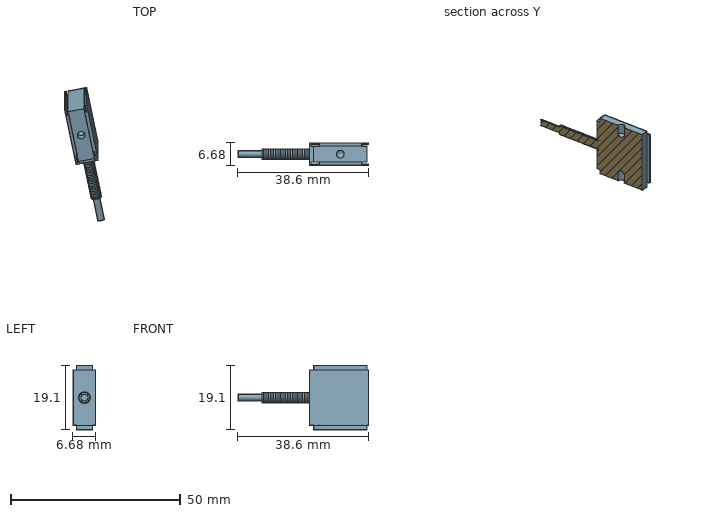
import cadquery as cq
import math

total_length = 38.6
body_width = 6.68
total_height = 19.05

body_length = 17.53
body_height = 16.4
core_width = 4.8
core_front_inset = 1.2
core_rear_inset = 0.45
body_start = total_length - body_length
core_start = body_start + core_front_inset
core_end = total_length - core_rear_inset
core_middle = (core_start + core_end) / 2

slot_width = 0.45
front_wall = 0.5
front_slot_end = body_start + 2.85
rear_slot_start = body_start + 15.5

hole_diameter = 2.28
hole_depth = 3.1
hole_tip_angle = 118.0

cable_diameter = 2.05
coil_diameter = 3.15
coil_start = 7.0
visible_coils = 28
coil_pitch = (body_start - coil_start) / visible_coils
entry_diameter = 3.45
entry_depth = coil_pitch


def box_between(x_start, x_end, width, height, y_center=0):
    """Box from x_start to x_end, centred on Z = 0."""
    length = x_end - x_start
    return cq.Workplane("XY").box(length, width, height).translate((x_start + length / 2, y_center, 0))


def make_housing():
    """Block with a flush front web, slots along the core and an open rear end."""
    housing = box_between(body_start, total_length, body_width, body_height)
    slot_center = core_width / 2 + slot_width / 2
    for side in (-1, 1):
        y = side * slot_center
        front_slot = box_between(body_start + front_wall, front_slot_end, slot_width, body_height, y)
        rear_slot = box_between(rear_slot_start, total_length, slot_width, body_height, y)
        housing = housing.cut(front_slot).cut(rear_slot)
    rear_gap = box_between(core_end, total_length, core_width, body_height)
    return housing.cut(rear_gap)


def mounting_hole():
    """Blind hole with a conical tip, drilled down from the top of the core."""
    radius = hole_diameter / 2
    tip_length = radius / math.tan(math.radians(hole_tip_angle / 2))
    floor = total_height / 2 - hole_depth
    return (
        cq.Workplane("XZ")
        .moveTo(0, total_height / 2)
        .lineTo(radius, total_height / 2)
        .lineTo(radius, floor)
        .lineTo(0, floor - tip_length)
        .close()
        .revolve(360, (0, 0), (0, 1))
        .translate((core_middle, 0, 0))
    )


def entry_recess():
    """Shallow round recess where the coil enters the front wall."""
    return cq.Workplane("YZ", origin=(body_start, 0, 0)).circle(entry_diameter / 2).extrude(entry_depth)


def make_cable():
    """Cable and round-wire coils as one revolved profile, reaching the recess floor."""
    wire_radius = coil_pitch / 2
    groove_radius = coil_diameter / 2 - wire_radius
    profile = (
        cq.Workplane("XY")
        .lineTo(0, cable_diameter / 2)
        .lineTo(coil_start, cable_diameter / 2)
        .lineTo(coil_start, groove_radius)
    )
    for index in range(visible_coils + 1):
        start = coil_start + index * coil_pitch
        profile = profile.threePointArc(
            (start + wire_radius, coil_diameter / 2), (start + coil_pitch, groove_radius)
        )
    profile = profile.lineTo(body_start + entry_depth, 0).close()
    return profile.revolve(360, (0, 0), (1, 0))


core = box_between(core_start, core_end, core_width, total_height)
top_hole = mounting_hole()
bottom_hole = top_hole.mirror("XY")

body = make_housing().union(core).cut(top_hole).cut(bottom_hole).cut(entry_recess())
result = body.union(make_cable())